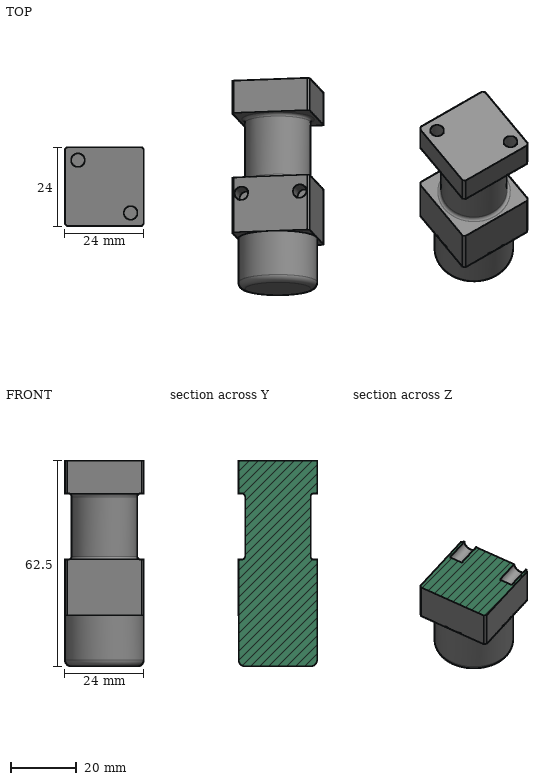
import cadquery as cq

WIDTH = 24.0
BARREL_LENGTH = 15.5
BLOCK_LENGTH = 17.0
NECK_LENGTH = 20.0
HEAD_LENGTH = 10.0

BLOCK_BOTTOM = BARREL_LENGTH
BLOCK_TOP = BLOCK_BOTTOM + BLOCK_LENGTH
HEAD_BOTTOM = BLOCK_TOP + NECK_LENGTH
HEAD_TOP = HEAD_BOTTOM + HEAD_LENGTH

BARREL_DIAMETER = WIDTH
BARREL_END_FILLET = 2.0
NECK_DIAMETER = 20.0
NECK_FILLET = 1.0
CORNER_DIAMETER = 33.0

HOLE_DIAMETER = 4.13
HOLE_DEPTH = 8.0
HEAD_HOLE_OFFSET = 8.0
PORT_OFFSET = 9.0
PORT_DROP = 5.0


def square_section(bottom, length):
    """Square prism whose vertical corners are turned to the corner diameter."""
    square = cq.Workplane("XY").workplane(offset=bottom).rect(WIDTH, WIDTH).extrude(length)
    turned = cq.Workplane("XY").workplane(offset=bottom).circle(CORNER_DIAMETER / 2).extrude(length)
    return square.intersect(turned)


def barrel():
    """Round lower end with a rounded bottom rim."""
    body = cq.Workplane("XY").circle(BARREL_DIAMETER / 2).extrude(BARREL_LENGTH)
    return body.faces("<Z").edges().fillet(BARREL_END_FILLET)


def neck():
    """Round neck that flares through a concave fillet into the block and the head."""
    radius = NECK_DIAMETER / 2
    flare_radius = radius + NECK_FILLET
    bend = NECK_FILLET * (1 - 0.5 ** 0.5)
    profile = (
        cq.Workplane("XZ")
        .moveTo(0, BLOCK_TOP)
        .lineTo(flare_radius, BLOCK_TOP)
        .threePointArc((radius + bend, BLOCK_TOP + bend), (radius, BLOCK_TOP + NECK_FILLET))
        .lineTo(radius, HEAD_BOTTOM - NECK_FILLET)
        .threePointArc((radius + bend, HEAD_BOTTOM - bend), (flare_radius, HEAD_BOTTOM))
        .lineTo(0, HEAD_BOTTOM)
        .close()
    )
    return profile.revolve(360, (0, 0, 0), (0, 1, 0))


def head_holes():
    """Two vertical holes on a diagonal of the head's top face."""
    centers = [(-HEAD_HOLE_OFFSET, HEAD_HOLE_OFFSET), (HEAD_HOLE_OFFSET, -HEAD_HOLE_OFFSET)]
    plane = cq.Workplane("XY").workplane(offset=HEAD_TOP)
    return plane.pushPoints(centers).circle(HOLE_DIAMETER / 2).extrude(-HOLE_DEPTH)


def port_holes():
    """Two horizontal holes entering the block from its -X face."""
    port_height = BLOCK_TOP - PORT_DROP
    centers = [(-PORT_OFFSET, port_height), (PORT_OFFSET, port_height)]
    plane = cq.Workplane("YZ").workplane(offset=-WIDTH / 2)
    return plane.pushPoints(centers).circle(HOLE_DIAMETER / 2).extrude(HOLE_DEPTH)


body = barrel().union(square_section(BLOCK_BOTTOM, BLOCK_LENGTH))
body = body.union(neck()).union(square_section(HEAD_BOTTOM, HEAD_LENGTH))
result = body.cut(head_holes()).cut(port_holes())